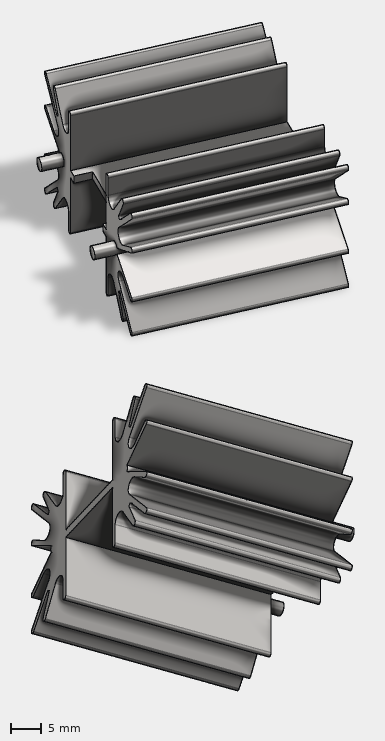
import cadquery as cq
import math

length = 38.1
half_width = 20.95
half_height = 12.7

web_thickness = 1.5
wall_x = 8.45
notch_width = 13.8
notch_depth = 3.3
web_hole_diameter = 3.2
web_hole_from_front = 18.3

tip_radius = 0.5
valley_radius = 1.5
slot_radius = 0.38
tip_x = half_width - tip_radius
tip_z = half_height - tip_radius
splayed_tip_x = 16.25
side_tip_z = 5.1
upper_valley_x = wall_x + 2 * tip_radius + valley_radius
upper_valley_z = 8.6
slot_x = 14.9
slot_z = 7.9
side_valley_x = 15.7
side_valley_z = 4.55

pin_radius = 2.4 / 2
pin_x = 12.7
pin_length = 19.98
pin_protrusion = 3.95
pin_exposed_angle = math.radians(32)


def tangent_points(start, end):
    """Ends of the line touching two circles (x, z, signed radius).

    The radius is positive where the path turns left and negative where it turns right.
    """
    x1, z1, r1 = start
    x2, z2, r2 = end
    distance = math.hypot(x2 - x1, z2 - z1)
    heading = math.atan2(z2 - z1, x2 - x1) - math.asin((r2 - r1) / distance)
    normal_x = -math.sin(heading)
    normal_z = math.cos(heading)
    leave = (x1 - r1 * normal_x, z1 - r1 * normal_z)
    arrive = (x2 - r2 * normal_x, z2 - r2 * normal_z)
    return leave, arrive


def arc_middle(circle, start, end):
    """Middle of the arc from start to end, turning the way the signed radius says."""
    x, z, radius = circle
    turn = math.copysign(1, radius)
    start_angle = math.atan2(start[1] - z, start[0] - x)
    end_angle = math.atan2(end[1] - z, end[0] - x)
    sweep = turn * ((turn * (end_angle - start_angle)) % (2 * math.pi))
    middle_angle = start_angle + sweep / 2
    return (x + abs(radius) * math.cos(middle_angle), z + abs(radius) * math.sin(middle_angle))


def make_quarter():
    """The +X, +Z quarter of the housing: half a web and one set of fins."""
    bump_start = (
        pin_x + pin_radius * math.cos(pin_exposed_angle),
        pin_radius * math.sin(pin_exposed_angle),
    )
    rounds = [
        (wall_x + tip_radius, tip_z, -tip_radius),
        (upper_valley_x, upper_valley_z, valley_radius),
        (splayed_tip_x, tip_z, -tip_radius),
        (slot_x, slot_z, slot_radius),
        (tip_x, tip_z, -tip_radius),
        (side_valley_x, side_valley_z, valley_radius),
        (tip_x, side_tip_z, -tip_radius),
    ]
    arrive = (wall_x, tip_z)
    outline = (
        cq.Workplane("XZ")
        .lineTo(0, web_thickness / 2)
        .lineTo(wall_x, web_thickness / 2)
        .lineTo(*arrive)
    )
    next_rounds = rounds[1:] + [(*bump_start, 0)]
    for current, following in zip(rounds, next_rounds):
        leave, next_arrive = tangent_points(current, following)
        outline = outline.threePointArc(arc_middle(current, arrive, leave), leave).lineTo(*next_arrive)
        arrive = next_arrive
    bump_middle = (
        pin_x + pin_radius * math.cos(pin_exposed_angle / 2),
        pin_radius * math.sin(pin_exposed_angle / 2),
    )
    return outline.threePointArc(bump_middle, (pin_x + pin_radius, 0)).close().extrude(length)


def make_pin(x):
    return (
        cq.Workplane("XZ", origin=(x, pin_length - length - pin_protrusion, 0))
        .circle(pin_radius)
        .extrude(pin_length)
    )


def make_housing(pins):
    quarter = make_quarter()
    side = quarter.union(quarter.mirror("XY"))
    body = side.union(side.mirror("YZ"))

    notch = cq.Workplane("XY").box(notch_width, 2 * notch_depth, 2 * web_thickness)
    body = body.cut(notch.translate((0, -length, 0)))

    web_hole = (
        cq.Workplane("XY", origin=(0, web_hole_from_front - length, -web_thickness))
        .circle(web_hole_diameter / 2)
        .extrude(2 * web_thickness)
    )
    body = body.cut(web_hole)

    for pin in pins:
        body = body.cut(pin)
    return body


pins = [make_pin(x) for x in (-pin_x, pin_x)]
housing = make_housing(pins).solids()

result = cq.Compound.makeCompound([housing.val(), *[pin.val() for pin in pins]])